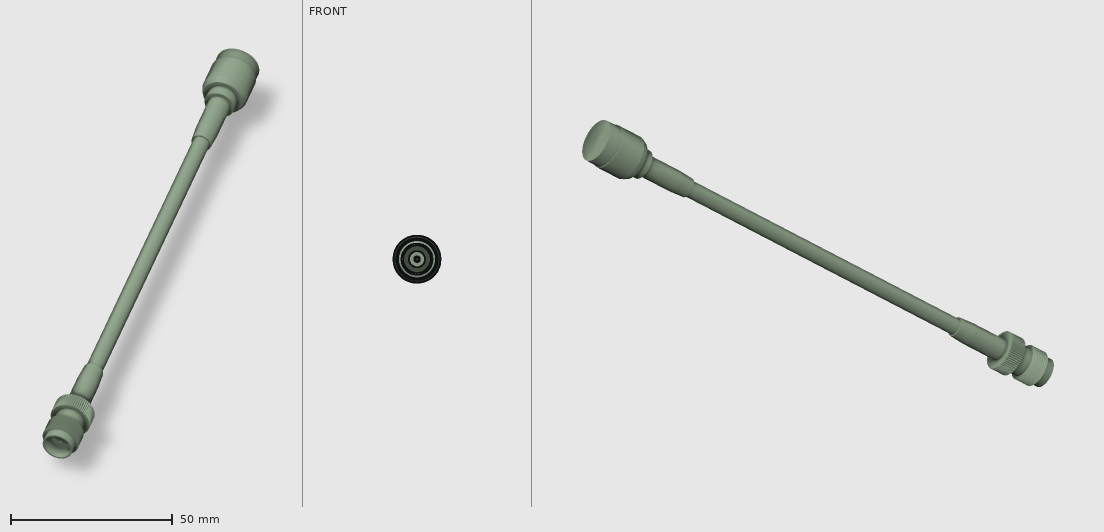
import cadquery as cq
import math

total_length = 177.8
jack_tip = -total_length / 2
plug_tip = total_length / 2

cable_radius = 2.7
boot_radius = 3.5
boot_end_radius = 3.2
boot_length = 10.0
boot_taper_length = 3.0

nut_radius = 7.3
nut_front_radius = 7.0
nut_front_length = 4.5
nut_length = 15.1
nut_end_radius = 6.4
nut_shoulder_length = 2.0
nut_shoulder_middle_length = 1.6
nut_shoulder_middle_radius = 7.1
nut_bevel_length = 1.0
nut_bevel_radius = 7.0
plug_neck_radius = 4.8
plug_length = 18.5

barrel_radius = 4.8
jack_length = 17.6
collar_radius = 6.4
collar_length = 5.2
knurl_count = 60
knurl_depth = 0.4
thread_radius = 5.9
thread_count = 8
thread_pitch = 0.7
thread_offset = 2.8
bore_radius = 4.3
bore_depth = 7.1

insulator_radius = 2.5
insulator_recess = 2.7
contact_radius = 0.9
contact_hole_radius = 0.5
contact_hole_depth = 2.7


def rod(start, length, radius):
    """Cylinder on the Y axis that runs from start towards +Y."""
    return cq.Workplane("XZ", origin=(0, start, 0)).circle(radius).extrude(-length)


def revolved(profile):
    """Turn a closed outline of (radius, y) points about the Y axis."""
    return cq.Workplane("XY").polyline(profile).close().revolve(360, (0, 0, 0), (0, 1, 0))


def make_cable():
    start = jack_tip + jack_length
    end = plug_tip - plug_length
    return rod(start, end - start, cable_radius)


def make_boot(connector_end, direction):
    """Sleeve on the cable: straight at the connector, then tapering along direction."""
    taper_start = connector_end + direction * (boot_length - boot_taper_length)
    cable_end = connector_end + direction * boot_length
    return revolved([
        (cable_radius, connector_end),
        (boot_radius, connector_end),
        (boot_radius, taper_start),
        (boot_end_radius, cable_end),
        (cable_radius, cable_end),
    ])


def make_coupling_nut():
    """Stepped sleeve with a shoulder of three cones at its cable end."""
    cable_end = plug_tip - nut_length
    return revolved([
        (plug_neck_radius, plug_tip),
        (nut_front_radius, plug_tip),
        (nut_front_radius, plug_tip - nut_front_length),
        (nut_radius, plug_tip - nut_front_length),
        (nut_radius, cable_end + nut_shoulder_length),
        (nut_shoulder_middle_radius, cable_end + nut_shoulder_middle_length),
        (nut_bevel_radius, cable_end + nut_bevel_length),
        (nut_end_radius, cable_end),
        (plug_neck_radius, cable_end),
    ])


def make_plug_body():
    return rod(plug_tip - plug_length, plug_length, plug_neck_radius)


def make_collar():
    """Disc with a straight V knurl: points alternate between tooth tips and roots."""
    step = math.pi / knurl_count
    outline = []
    for i in range(2 * knurl_count):
        radius = collar_radius - knurl_depth * (i % 2)
        outline.append((radius * math.cos(i * step), radius * math.sin(i * step)))
    start = jack_tip + jack_length - collar_length
    return cq.Workplane("XZ", origin=(0, start, 0)).polyline(outline).close().extrude(-collar_length)


def make_thread():
    """Threaded band as a row of sharp V ridges that rise from the barrel surface."""
    start = jack_tip + thread_offset
    profile = [(0, start), (barrel_radius, start)]
    for i in range(thread_count):
        root = start + i * thread_pitch
        profile.append((thread_radius, root + thread_pitch / 2))
        profile.append((barrel_radius, root + thread_pitch))
    profile.append((0, start + thread_count * thread_pitch))
    return revolved(profile)


def make_jack_body():
    barrel = rod(jack_tip, jack_length, barrel_radius)
    body = barrel.union(make_thread()).union(make_collar())
    return body.cut(rod(jack_tip, bore_depth, bore_radius))


def make_insulator():
    start = jack_tip + insulator_recess
    length = bore_depth - insulator_recess
    return rod(start, length, insulator_radius).cut(rod(start, length, contact_radius))


def make_contact():
    start = jack_tip + insulator_recess
    pin = rod(start, bore_depth - insulator_recess, contact_radius)
    return pin.cut(rod(start, contact_hole_depth, contact_hole_radius))


cable = make_cable()
jack_boot = make_boot(jack_tip + jack_length, 1.8)
plug_boot = make_boot(plug_tip - plug_length, -1.8)
coupling_nut = make_coupling_nut()
plug_body = make_plug_body()
jack_body = make_jack_body()
insulator = make_insulator()
contact = make_contact()

result = cq.Compound.makeCompound([
    cable.val(),
    jack_boot.val(),
    plug_boot.val(),
    coupling_nut.val(),
    plug_body.val(),
    jack_body.val(),
    insulator.val(),
    contact.val(),
])